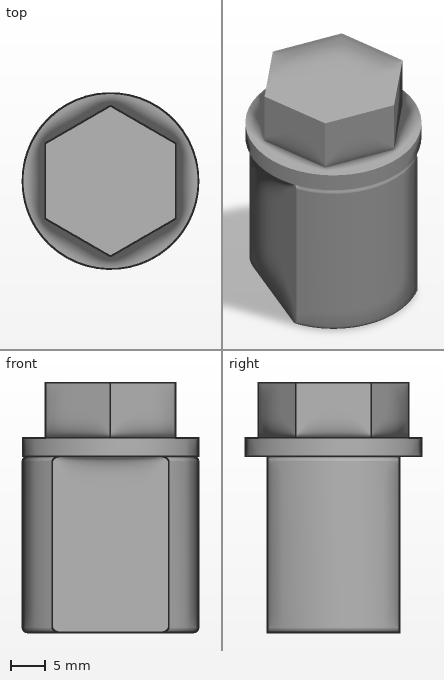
import cadquery as cq
import math

outer_diameter = 25.4
total_height = 36.02
barrel_height = 25.4
barrel_across_flats = 19.05
barrel_edge_radius = 0.8
collar_thickness = 2.65
hex_across_flats = 18.8

hex_height = total_height - barrel_height - collar_thickness
hex_across_corners = hex_across_flats / math.cos(math.pi / 6)
corner_rotation = 90


def make_barrel():
    """Rounded-edge cylinder with two parallel flats facing -Y and +Y."""
    cylinder = cq.Workplane("XY").circle(outer_diameter / 2).extrude(barrel_height)
    rounded = cylinder.edges("%CIRCLE").fillet(barrel_edge_radius)
    between_flats = cq.Workplane("XY").rect(outer_diameter, barrel_across_flats).extrude(barrel_height)
    return rounded.intersect(between_flats)


def make_collar():
    """Plain disc resting on the barrel."""
    return (
        cq.Workplane("XY")
        .workplane(offset=barrel_height)
        .circle(outer_diameter / 2)
        .extrude(collar_thickness)
    )


def make_hex_head():
    """Hexagonal prism resting on the collar."""
    return (
        cq.Workplane("XY")
        .workplane(offset=barrel_height + collar_thickness)
        .transformed(rotate=(0, 0, corner_rotation))
        .polygon(6, hex_across_corners)
        .extrude(hex_height)
    )


barrel = make_barrel()
collar = make_collar()
hex_head = make_hex_head()

result = cq.Compound.makeCompound([barrel.val(), collar.val(), hex_head.val()])